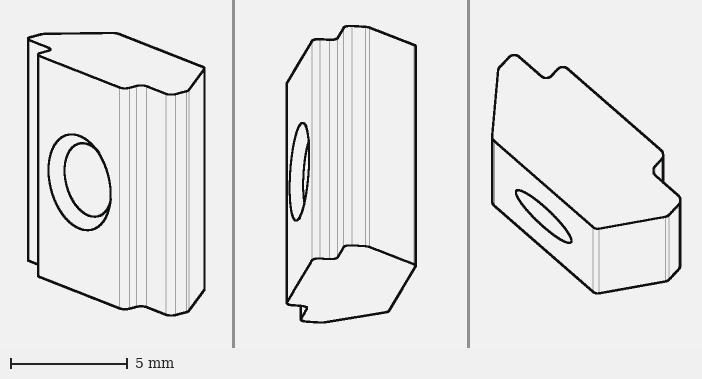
import cadquery as cq

length = 10.0
flange_width = 9.8
depth = 4.5

neck_width = 6.0
neck_height = 1.0
flange_edge_height = 1.0
back_width = neck_width
edge_radius = 0.3

hole_diameter = 3.22
countersink_diameter = 4.2
countersink_angle = 90.0

front_y = -depth / 2
back_y = depth / 2
shoulder_y = front_y + neck_height
slope_start_y = shoulder_y + flange_edge_height


def vertical_edges_near(body, half_width, y):
    """Select the pair of full-length edges at x = +/- half_width and the given y."""
    tolerance = 0.01
    box = cq.selectors.BoxSelector(
        (-half_width - tolerance, y - tolerance, -length),
        (half_width + tolerance, y + tolerance, length),
    )
    return body.edges("|Z").edges(box)


def make_body():
    right_half = [
        (neck_width / 2, front_y),
        (neck_width / 2, shoulder_y),
        (flange_width / 2, shoulder_y),
        (flange_width / 2, slope_start_y),
        (back_width / 2, back_y),
    ]
    left_half = [(-x, y) for x, y in reversed(right_half)]
    body = (
        cq.Workplane("XY")
        .polyline(right_half + left_half)
        .close()
        .extrude(length / 2, both=True)
    )
    body = vertical_edges_near(body, neck_width / 2, front_y).fillet(edge_radius)
    body = vertical_edges_near(body, flange_width / 2, shoulder_y).fillet(edge_radius)
    body = vertical_edges_near(body, flange_width / 2, slope_start_y).fillet(edge_radius)
    return vertical_edges_near(body, back_width / 2, back_y).fillet(edge_radius)


def cut_hole(body):
    return body.faces("<Y").workplane(origin=(0, front_y, 0)).cskHole(
        hole_diameter, countersink_diameter, countersink_angle
    )


result = cut_hole(make_body())